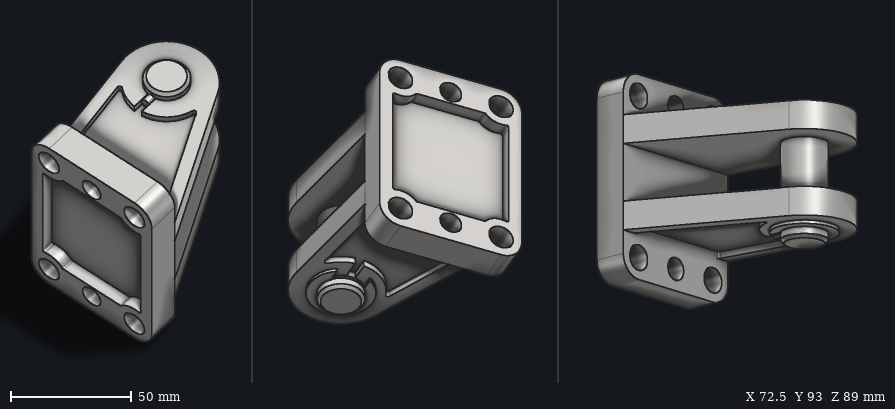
import cadquery as cq
import math

total_width = 72.5
total_depth = 93.0

plate_width = 65.0
plate_height = 89.0
plate_thickness = 15.0
plate_corner_radius = 9.5
corner_hole_diameter = 11.0
middle_hole_diameter = 9.8
hole_x = plate_width / 2 - plate_corner_radius
hole_z = plate_height / 2 - plate_corner_radius

plate_recess_width = 53.0
rim_width = (plate_width - plate_recess_width) / 2
recess_corner_radius = 1.0
plate_recess_height = 58.0
plate_recess_depth = 6.0
hole_boss_radius = plate_corner_radius
arm_recess_depth = 3.0
pin_boss_radius = 18.8

arm_end_radius = 22.0
arm_gap = 25.0
arm_thickness = 12.5
arm_inner_z = arm_gap / 2
arm_outer_z = arm_inner_z + arm_thickness
pin_x = plate_width / 2 - total_width + arm_end_radius
pin_y = total_depth - arm_end_radius

pin_diameter = 20.0
pin_top_z = 29.0
pin_length = 60.0
pin_bottom_z = pin_top_z - pin_length
pin_chamfer = 1.5
groove_diameter = 15.0
key_diameter = 4.0
key_reach = 13.95
key_z = arm_outer_z - arm_recess_depth + key_diameter / 2

clip_diameter = 29.2
clip_thickness = 1.5
clip_bottom_z = -arm_outer_z - clip_thickness


def disc(diameter, bottom_z, height):
    """Round body about the pin axis."""
    return cq.Workplane("XY", origin=(pin_x, pin_y, bottom_z)).circle(diameter / 2).extrude(height)


def plate_block(width, height, depth):
    """Block on the bolted face, running toward +Y."""
    return cq.Workplane("XY").box(width, depth, height, centered=(True, False, True))


def plate_holes(points, diameter, depth):
    """Round bodies along Y that start on the bolted face."""
    return cq.Workplane("XZ").pushPoints(points).circle(diameter / 2).extrude(-depth)


def make_plate():
    plate = plate_block(plate_width, plate_height, plate_thickness)
    plate = plate.edges("|Y").fillet(plate_corner_radius)

    corners = [(x, z) for x in (-hole_x, hole_x) for z in (-hole_z, hole_z)]
    middles = [(0, -hole_z), (0, hole_z)]

    recess = plate_block(plate_recess_width, plate_recess_height, plate_recess_depth)
    recess = recess.cut(plate_holes(corners, 2 * hole_boss_radius, plate_recess_depth))
    recess = recess.edges("|Y").fillet(recess_corner_radius)

    plate = plate.cut(recess)
    plate = plate.cut(plate_holes(corners, corner_hole_diameter, plate_thickness))
    return plate.cut(plate_holes(middles, middle_hole_diameter, plate_thickness))


def side_angle(side):
    """Direction from the pin axis square to the arm edge that ends at a plate corner (side -1 or +1)."""
    corner_dx = side * plate_width / 2 - pin_x
    corner_dy = plate_thickness - pin_y
    turn = math.acos(arm_end_radius / math.hypot(corner_dx, corner_dy))
    return math.atan2(corner_dy, corner_dx) + side * turn


def side_line(side, radius):
    """Tangent point on a circle about the pin, and where that tangent meets the plate."""
    angle = side_angle(side)
    tangent = (pin_x + radius * math.cos(angle), pin_y + radius * math.sin(angle))
    foot_x = tangent[0] + (tangent[1] - plate_thickness) * math.tan(angle)
    return tangent, (foot_x, plate_thickness)


def make_arm_recess():
    """Sunken web inside the arm rim, with a key slot that leads to the pin hole."""
    floor_z = arm_outer_z - arm_recess_depth
    inner_radius = arm_end_radius - rim_width
    left_top, left_foot = side_line(-1, inner_radius)
    right_top, right_foot = side_line(1, inner_radius)
    web = cq.Workplane("XY", origin=(0, 0, floor_z))
    web = web.polyline([left_foot, left_top, right_top, right_foot]).close().extrude(arm_recess_depth)
    web = web.cut(disc(2 * pin_boss_radius, floor_z, arm_recess_depth))
    web = web.edges("|Z").fillet(recess_corner_radius)

    slot = cq.Workplane("XY", origin=(pin_x, pin_y - pin_boss_radius / 2, floor_z))
    slot = slot.rect(key_diameter, pin_boss_radius).extrude(arm_recess_depth)
    return web.union(slot)


def make_upper_arm():
    left_tangent, left_foot = side_line(-1, arm_end_radius)
    right_tangent, right_foot = side_line(1, arm_end_radius)
    arm = (
        cq.Workplane("XY", origin=(0, 0, arm_inner_z))
        .moveTo(*left_foot)
        .lineTo(*left_tangent)
        .threePointArc((pin_x, total_depth), right_tangent)
        .lineTo(*right_foot)
        .close()
        .extrude(arm_thickness)
    )
    arm = arm.cut(make_arm_recess())
    return arm.cut(disc(pin_diameter, arm_inner_z, arm_thickness))


def make_bracket():
    upper_arm = make_upper_arm()
    return make_plate().union(upper_arm).union(upper_arm.mirror("XY"))


def make_pin():
    pin = disc(pin_diameter, pin_bottom_z, pin_length).faces("<Z or >Z").chamfer(pin_chamfer)
    groove = disc(pin_diameter, clip_bottom_z, clip_thickness)
    groove = groove.cut(disc(groove_diameter, clip_bottom_z, clip_thickness))
    key = cq.Workplane("XZ", origin=(pin_x, pin_y, key_z)).circle(key_diameter / 2).extrude(key_reach)
    return pin.cut(groove).union(key)


def make_clip():
    """Flat ring seated in the pin groove, open toward the plate."""
    clip = disc(clip_diameter, clip_bottom_z, clip_thickness)
    mouth = cq.Workplane("XY", origin=(pin_x, pin_y - clip_diameter / 4, clip_bottom_z))
    mouth = mouth.rect(groove_diameter, clip_diameter / 2).extrude(clip_thickness)
    return clip.cut(mouth).cut(disc(groove_diameter, clip_bottom_z, clip_thickness))


bracket = make_bracket()
pin = make_pin()
clip = make_clip()

result = cq.Compound.makeCompound([bracket.solids().val(), pin.solids().val(), clip.solids().val()])